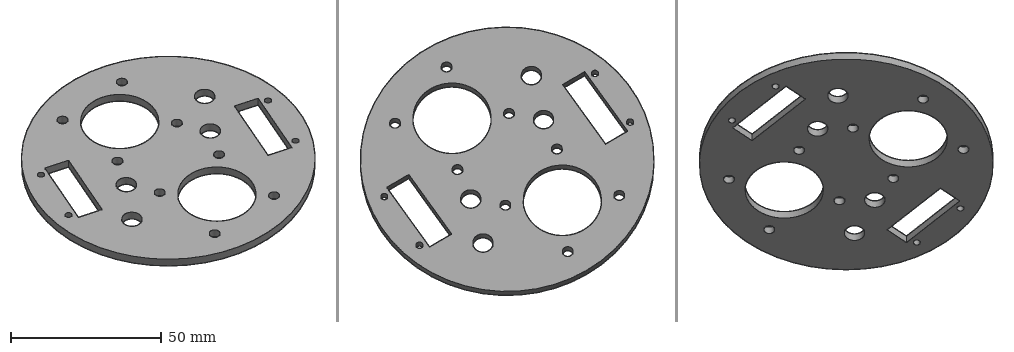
import cadquery as cq
import math

plate_diameter = 97.79
plate_thickness = 3.175

opening_diameter = 26.04
opening_offset = 23.8125
opening_screw_diameter = 3.58
opening_screw_circle_radius = 19.05

through_hole_diameter = 6.76
through_hole_points = [(0, 19.05), (-13.5, 29.0)]

slot_length = 26.19
slot_width = 8.73
slot_radius = 34.925
slot_tilt = -17.45
slot_screw_diameter = 2.3
slot_screw_spacing = 21.45
slot_screw_radius = 41.81

half_turns = (0, 180)


def through_cylinders(points, diameter):
    """Cylinders through the full plate thickness, for cutting holes."""
    return cq.Workplane("XY").pushPoints(points).circle(diameter / 2).extrude(plate_thickness)


def turned(shape, angle):
    """The shape turned about the plate axis."""
    return shape.rotate((0, 0, 0), (0, 0, 1), angle)


def opening_cutter(center_x):
    """Large opening with its four screw holes on the diagonals."""
    screw_offset = opening_screw_circle_radius / math.sqrt(2)
    screw_points = [
        (center_x + side_x * screw_offset, side_y * screw_offset)
        for side_x in (-1, 1)
        for side_y in (-1, 1)
    ]
    opening = through_cylinders([(center_x, 0)], opening_diameter)
    return opening.add(through_cylinders(screw_points, opening_screw_diameter)).combine()


def slot_cutter():
    """Slot and its screw pair, laid out on +Y and then tilted about the plate axis."""
    slot = (
        cq.Workplane("XY")
        .center(0, slot_radius)
        .rect(slot_length, slot_width)
        .extrude(plate_thickness)
    )
    screw_points = [(side * slot_screw_spacing / 2, slot_screw_radius) for side in (-1, 1)]
    cutter = slot.add(through_cylinders(screw_points, slot_screw_diameter)).combine()
    return turned(cutter, slot_tilt)


result = cq.Workplane("XY").circle(plate_diameter / 2).extrude(plate_thickness)

for center_x in (-opening_offset, opening_offset):
    result = result.cut(opening_cutter(center_x))

for angle in half_turns:
    result = result.cut(turned(through_cylinders(through_hole_points, through_hole_diameter), angle))
    result = result.cut(turned(slot_cutter(), angle))